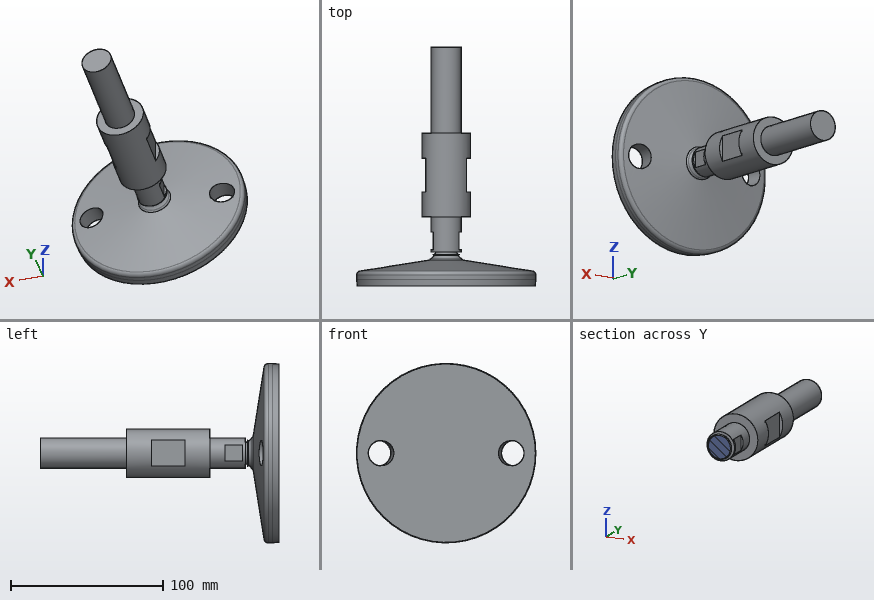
import math
import cadquery as cq


foot_radius = 117.98 / 2
foot_taper_height = 4.3
foot_taper_inset = 0.4
shoulder_height = 7.2
rim_round_radius = 2.85
cone_top_radius = 11.0
cone_top_height = 17.2
flare_radius = 10.0
flare_height = 18.2
collar_radius = 8.1
collar_height = 20.2
collar_arc_radius = 4.0

hole_diameter = 16.5
hole_offset = 44.6

spindle_diameter = 20.0
spindle_top = 157.0
spindle_shoulder = 22.3
neck_radius = 7.15
neck_middle = 21.9
neck_groove_radius = 1.1
neck_ring_radius = 8.6
neck_ring_height = 20.9
spindle_flat_bottom = 24.0
spindle_flat_length = 11.5
spindle_across_flats = 17.0

sleeve_diameter = 32.0
sleeve_bottom = 45.5
sleeve_length = 55.0
sleeve_flat_length = 22.0
sleeve_across_flats = 27.0

round_center_radius = foot_radius - rim_round_radius
center_run = round_center_radius - cone_top_radius
center_drop = cone_top_height - shoulder_height
cone_angle = math.atan2(center_drop, center_run) - math.asin(
    rim_round_radius / math.hypot(center_run, center_drop)
)


def rim_point(angle):
    """Point on the rim round, with the angle measured up from the radial direction."""
    return (
        round_center_radius + rim_round_radius * math.cos(angle),
        shoulder_height + rim_round_radius * math.sin(angle),
    )


def revolve_about_y(profile):
    return profile.close().revolve(360, (0, 0, 0), (0, 1, 0))


def cut_flats(body, bottom, length, across_flats, body_diameter):
    """Mill a pair of opposite wrench flats facing -X and +X."""
    for side in (-1, 1):
        cutter = cq.Workplane("XY").box(body_diameter, length, body_diameter)
        cutter_x = side * (across_flats + body_diameter) / 2
        body = body.cut(cutter.translate((cutter_x, bottom + length / 2, 0)))
    return body


def make_foot():
    round_end_angle = math.pi / 2 - cone_angle
    foot = revolve_about_y(
        cq.Workplane("XY")
        .lineTo(foot_radius - foot_taper_inset, 0)
        .lineTo(foot_radius, foot_taper_height)
        .lineTo(foot_radius, shoulder_height)
        .threePointArc(rim_point(round_end_angle / 2), rim_point(round_end_angle))
        .lineTo(cone_top_radius, cone_top_height)
        .lineTo(flare_radius, flare_height)
        .radiusArc((collar_radius, collar_height), collar_arc_radius)
        .lineTo(0, collar_height)
    )
    hole_height = cone_top_height - (hole_offset - cone_top_radius) * math.tan(cone_angle)
    drill_length = 2 * cone_top_height
    for side in (-1, 1):
        hole_axis = cq.Vector(side * math.sin(cone_angle), math.cos(cone_angle), 0)
        face_point = cq.Vector(side * hole_offset, hole_height, 0)
        drill_start = face_point - hole_axis * cone_top_height
        drill = cq.Solid.makeCylinder(hole_diameter / 2, drill_length, drill_start, hole_axis)
        foot = foot.cut(cq.Workplane(drill))
    return foot


def make_spindle():
    spindle_radius = spindle_diameter / 2
    shoulder_rise = spindle_shoulder - neck_middle
    groove_half_width = math.sqrt(neck_groove_radius**2 - shoulder_rise**2)
    neck_top_radius = neck_radius + neck_groove_radius - groove_half_width
    spindle = revolve_about_y(
        cq.Workplane("XY")
        .moveTo(0, collar_height)
        .lineTo(collar_radius, collar_height)
        .lineTo(neck_ring_radius, neck_ring_height)
        .threePointArc((neck_radius, neck_middle), (neck_top_radius, spindle_shoulder))
        .lineTo(spindle_radius, spindle_shoulder)
        .lineTo(spindle_radius, spindle_top)
        .lineTo(0, spindle_top)
    )
    return cut_flats(
        spindle, spindle_flat_bottom, spindle_flat_length, spindle_across_flats, spindle_diameter
    )


def make_sleeve():
    inner_radius = spindle_diameter / 2
    outer_radius = sleeve_diameter / 2
    sleeve_top = sleeve_bottom + sleeve_length
    sleeve = revolve_about_y(
        cq.Workplane("XY")
        .moveTo(inner_radius, sleeve_bottom)
        .lineTo(outer_radius, sleeve_bottom)
        .lineTo(outer_radius, sleeve_top)
        .lineTo(inner_radius, sleeve_top)
    )
    flat_bottom = sleeve_bottom + (sleeve_length - sleeve_flat_length) / 2
    return cut_flats(sleeve, flat_bottom, sleeve_flat_length, sleeve_across_flats, sleeve_diameter)


foot = make_foot()
spindle = make_spindle()
sleeve = make_sleeve()

result = cq.Compound.makeCompound([foot.val(), spindle.val(), sleeve.val()])